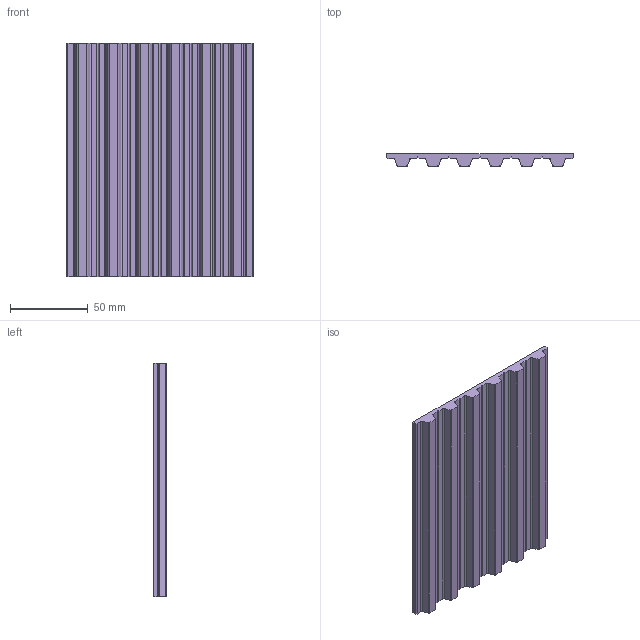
import cadquery as cq
import math

pitch = 20.0
tooth_count = 6
belt_width = 150.0
belt_thickness = 8.0
tooth_height = 5.0
tooth_root_width = 10.15
flank_angle = 20.0
tooth_fillet_radius = 0.8
groove_width = 1.6
groove_depth = 0.8

belt_length = pitch * tooth_count
back_y = belt_thickness / 2
tip_y = -belt_thickness / 2
root_y = tip_y + tooth_height
flank_run = tooth_height * math.tan(math.radians(flank_angle))
tooth_tip_width = tooth_root_width - 2 * flank_run
tooth_centers = [(index + 0.5) * pitch - belt_length / 2 for index in range(tooth_count)]
groove_centers = [index * pitch - belt_length / 2 for index in range(tooth_count + 1)]


def extrude_outline(points):
    """Closed polygon in the XY plane, extruded over the full belt width along Z."""
    return (
        cq.Workplane("XY")
        .workplane(offset=-belt_width / 2)
        .polyline(points)
        .close()
        .extrude(belt_width)
    )


def toothed_belt():
    """Flat-backed belt with a row of sharp trapezoidal teeth on the -Y side."""
    points = [(-belt_length / 2, back_y), (-belt_length / 2, root_y)]
    for center_x in tooth_centers:
        points += [
            (center_x - tooth_root_width / 2, root_y),
            (center_x - tooth_tip_width / 2, tip_y),
            (center_x + tooth_tip_width / 2, tip_y),
            (center_x + tooth_root_width / 2, root_y),
        ]
    points += [(belt_length / 2, root_y), (belt_length / 2, back_y)]
    return extrude_outline(points)


def round_teeth(belt):
    """Round the tip and root edges of every tooth, leaving the corners at the belt ends sharp."""
    half_tooth_zone = (pitch + tooth_root_width) / 4
    for center_x in tooth_centers:
        tooth_zone = cq.selectors.BoxSelector(
            (center_x - half_tooth_zone, tip_y - tooth_height / 2, -belt_width / 2),
            (center_x + half_tooth_zone, (root_y + back_y) / 2, belt_width / 2),
        )
        belt = belt.edges("|Z").edges(tooth_zone).fillet(tooth_fillet_radius)
    return belt


def v_groove(center_x):
    """Cutter for one V groove in the root surface, with its apex toward the back."""
    return extrude_outline([
        (center_x - groove_width / 2, root_y),
        (center_x + groove_width / 2, root_y),
        (center_x, root_y + groove_depth),
    ])


result = round_teeth(toothed_belt())

for groove_x in groove_centers:
    result = result.cut(v_groove(groove_x))